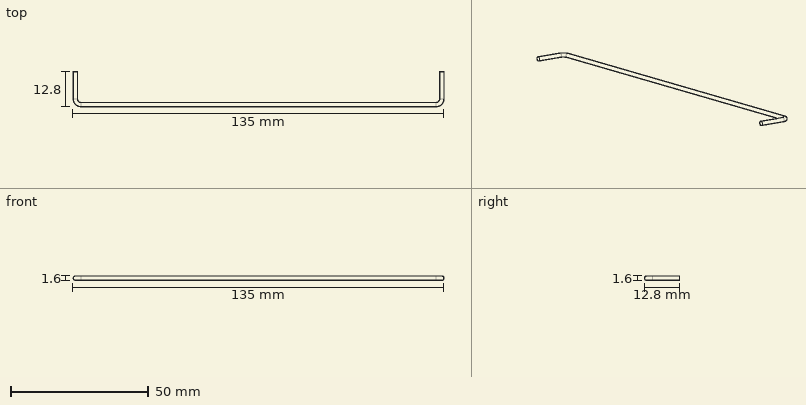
import cadquery as cq

overall_length = 135.0
overall_depth = 12.8
wire_diameter = 1.6
bend_radius = 2.0

wire_radius = wire_diameter / 2
leg_x = overall_length / 2 - wire_radius
leg_tip_y = overall_depth - wire_radius
span_end_x = leg_x - bend_radius


def wire_centreline():
    """U-shaped path in the XY plane, from the left leg tip to the right one."""
    return (
        cq.Workplane("XY")
        .moveTo(-leg_x, leg_tip_y)
        .lineTo(-leg_x, bend_radius)
        .tangentArcPoint((-span_end_x, 0), relative=False)
        .lineTo(span_end_x, 0)
        .tangentArcPoint((leg_x, bend_radius), relative=False)
        .lineTo(leg_x, leg_tip_y)
    )


leg_tip_section = cq.Workplane("XZ", origin=(-leg_x, leg_tip_y, 0)).circle(wire_radius)
result = leg_tip_section.sweep(wire_centreline())